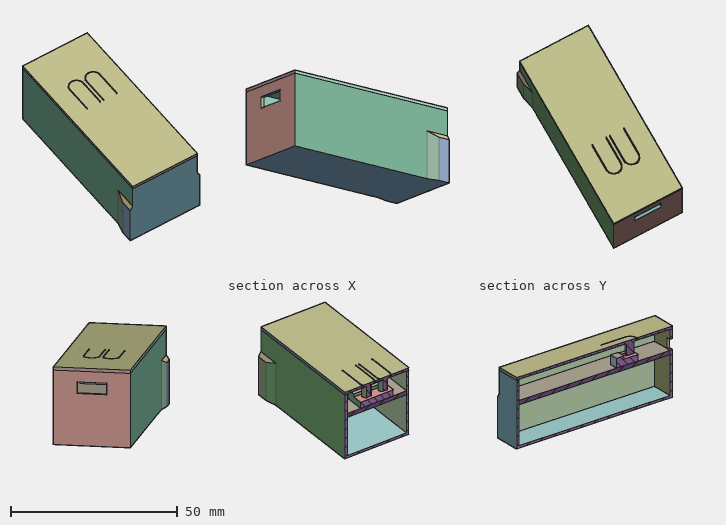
import cadquery as cq

length = 58.5
width = 23.5
height = 24.0
wall = 1.0
lid_thickness = 1.0
case_height = height - lid_thickness
inner_length = length - 2 * wall
inner_width = width - 2 * wall

overall_width = 25.35
grip_thickness = (overall_width - width) / 2
grip_length = 7.9
grip_height = 15.1
grip_end_taper = 4.0
grip_top_taper = 1.45

window_width = 9.0
window_height = 3.55
window_sill = 16.1

button_spacing = 6.0
button_x = 15.9
tongue_width = 4.6
slot_width = 0.2
slot_end_x = 25.0
stem_diameter = 3.0
stem_bottom = 18.95

board_thickness = 1.6

switch_start_x = 12.85
switch_length = 8.2
switch_width = 12.05
switch_top = 18.25
ridge_start_x = 18.15
ridge_top = 19.3

button_positions = [-button_spacing / 2, button_spacing / 2]


def block(x_start, z_start, size_x, size_y, size_z):
    """Box centred across Y that starts at the given X and Z."""
    return cq.Workplane("XY").box(size_x, size_y, size_z, centered=(False, True, False)).translate(
        (x_start, 0, z_start)
    )


def make_grip():
    """Grip on the -Y side: its -X end and its top slope back to the case wall."""
    base_x = length - grip_length
    outer_length = grip_length - grip_end_taper
    outer_height = grip_height - grip_top_taper
    return (
        cq.Workplane("XZ", origin=(0, -width / 2, 0))
        .moveTo(base_x, 0)
        .rect(grip_length, grip_height, centered=False)
        .workplane(offset=grip_thickness)
        .moveTo(base_x + grip_end_taper, 0)
        .rect(outer_length, outer_height, centered=False)
        .loft(combine=True)
    )


def make_housing():
    """Open-topped case with the connector window and the two grips."""
    outside = block(0, 0, length, width, case_height)
    cavity = block(wall, wall, inner_length, inner_width, case_height)
    window = block(0, window_sill, wall, window_width, window_height)
    grip = make_grip()
    return outside.cut(cavity).cut(window).union(grip).union(grip.mirror("XZ"))


def tongue_outline(y, tongue):
    """Round-ended strip of the given width through the lid, square at its +X end."""
    radius = tongue / 2
    return (
        cq.Workplane("XY", origin=(0, y, case_height))
        .moveTo(slot_end_x, -radius)
        .lineTo(button_x, -radius)
        .threePointArc((button_x - radius, 0), (button_x, radius))
        .lineTo(slot_end_x, radius)
        .close()
        .extrude(lid_thickness)
    )


def make_lid():
    """Flat lid with a U-shaped slot around each tongue and a stem under its tip."""
    lid = block(0, case_height, length, width, lid_thickness)
    for y in button_positions:
        slot = tongue_outline(y, tongue_width + 2 * slot_width).cut(tongue_outline(y, tongue_width))
        stem = (
            cq.Workplane("XY", origin=(button_x, y, stem_bottom))
            .circle(stem_diameter / 2)
            .extrude(case_height - stem_bottom)
        )
        lid = lid.cut(slot).union(stem)
    return lid


def make_board():
    """Plate spanning the cavity, with its top level with the window sill."""
    return block(wall, window_sill - board_thickness, inner_length, inner_width, board_thickness)


def make_switch_block():
    """Block on the board with a raised ridge behind the stems."""
    body = block(switch_start_x, window_sill, switch_length, switch_width, switch_top - window_sill)
    ridge_length = switch_start_x + switch_length - ridge_start_x
    ridge = block(ridge_start_x, switch_top, ridge_length, switch_width, ridge_top - switch_top)
    return body.union(ridge)


housing = make_housing()
lid = make_lid()
board = make_board()
switch_block = make_switch_block()

result = cq.Compound.makeCompound([housing.val(), lid.val(), board.val(), switch_block.val()])